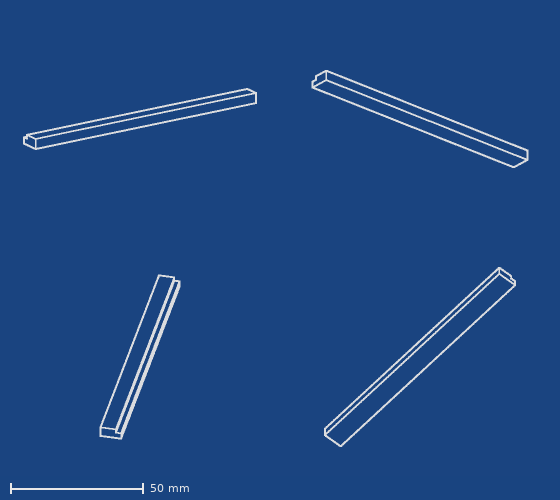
import cadquery as cq

width = 8.0
length = 100.0
height = 4.06
ledge_width = 2.0
ledge_height = 2.54


def stepped_bar():
    """Bar along Y with a low ledge running the full length of its -X side."""
    left = -width / 2
    right = width / 2
    shoulder = left + ledge_width
    profile = [
        (left, 0),
        (right, 0),
        (right, height),
        (shoulder, height),
        (shoulder, ledge_height),
        (left, ledge_height),
    ]
    section = cq.Workplane("XZ").polyline(profile).close()
    return section.extrude(length / 2, both=True)


result = stepped_bar()